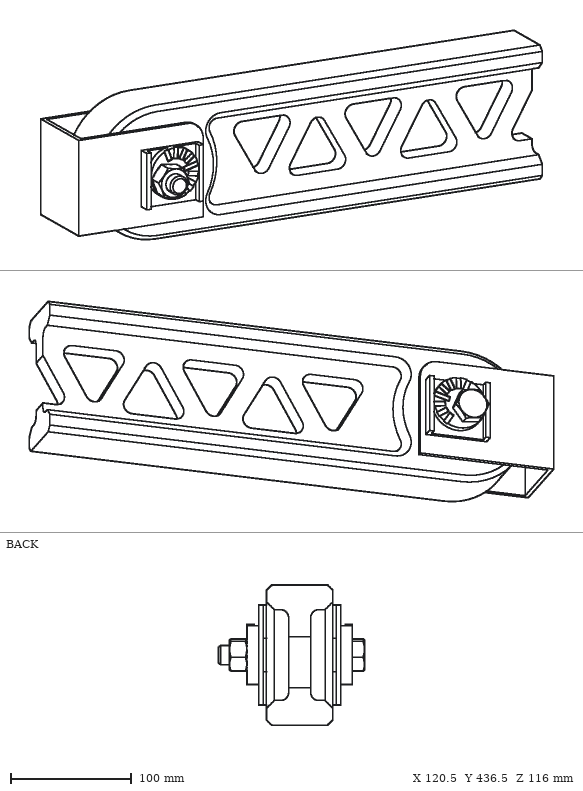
import cadquery as cq
import math


overall_length = 436.5

arm_width = 55.0
arm_height = 116.0
arm_chamfer = 4.5
pivot_boss_radius = 59.0
pocket_half_height = 37.5
pocket_depth = 18.5
pocket_corner_radius = 7.5
pocket_rim_angle = 45.0
pocket_edge_size = 6.5

window_count = 6
window_first_y = 107.5
window_pitch = 52.0
window_half_height = 27.0
window_height = 47.5
window_width = 52.5
window_corner_radius = 7.5

yoke_width = 68.0
yoke_height = 83.0
yoke_front = 77.0
yoke_rear = 39.3
yoke_wall = 4.0
yoke_corner_radius = 14.5

guide_web = 3.5
guide_lip_height = 6.0
guide_lip = 4.0
guide_height = 49.0
guide_channel = 45.0

cam_radius = 22.3
cam_eccentricity = 8.7
cam_angle = 22.5
tick_count = 8
tick_pitch = 24.0
tick_first_angle = -57.0
tick_width = 4.0
tick_length = 9.5
long_tick_index = 3
long_tick_length = 13.0
tick_depth = 1.1

bolt_diameter = 16.0
bolt_tip_x = 67.0
bolt_tip_chamfer = 1.7
hex_corner_radius = 14.5
hex_turn = -7.5
hex_cone_angle = 30.0
hex_face_radius = 12.0
head_thickness = 10.0
nut_thickness = 14.5
sleeve_diameter = 28.0

arm_radius = arm_height / 2
arm_rear_y = overall_length - yoke_front
yoke_face_x = yoke_width / 2
guide_floor_x = yoke_face_x + guide_web
cam_face_x = guide_floor_x + guide_lip_height
cam_center_y = cam_eccentricity * math.cos(math.radians(cam_angle))
cam_center_z = cam_eccentricity * math.sin(math.radians(cam_angle))


def side_plane(x):
    """Sketch plane at the given X: local x is +Y, local y is +Z, extrusion goes to +X."""
    return cq.Workplane("YZ", origin=(x, 0, 0))


def x_cylinder(radius, x_start, x_end):
    return side_plane(x_start).circle(radius).extrude(x_end - x_start)


def arm_blank():
    blank = (
        side_plane(-arm_width / 2)
        .moveTo(arm_rear_y, -arm_radius)
        .lineTo(arm_rear_y, arm_radius)
        .lineTo(0, arm_radius)
        .threePointArc((-arm_radius, 0), (0, -arm_radius))
        .close()
        .extrude(arm_width)
    )
    long_edges = blank.faces("<X or >X").edges("not >Y")
    return long_edges.chamfer(arm_chamfer)


def pocket_outline(plane, offset):
    """Closed outline of a side pocket, grown outwards by the offset; it runs out past the arm end."""
    half_height = pocket_half_height + offset
    boss_radius = pivot_boss_radius - offset
    corner_radius = pocket_corner_radius + offset
    corner_z = half_height - corner_radius
    center_distance = boss_radius + corner_radius
    corner_y = math.sqrt(center_distance**2 - corner_z**2)
    touch_y = corner_y * boss_radius / center_distance
    touch_z = corner_z * boss_radius / center_distance
    middle_angle = (math.pi / 2 + math.atan2(corner_z, corner_y) + math.pi) / 2
    middle_y = corner_y + corner_radius * math.cos(middle_angle)
    middle_z = corner_z + corner_radius * math.sin(middle_angle)
    runout_y = arm_rear_y + arm_width
    return (
        plane.moveTo(runout_y, half_height)
        .lineTo(corner_y, half_height)
        .threePointArc((middle_y, middle_z), (touch_y, touch_z))
        .threePointArc((boss_radius, 0), (touch_y, -touch_z))
        .threePointArc((middle_y, -middle_z), (corner_y, -half_height))
        .lineTo(runout_y, -half_height)
        .close()
    )


def pocket_cutter():
    """Pocket of the -X side: straight wall, filleted floor and chamfered rim."""
    mouth = side_plane(-arm_width / 2)
    body = pocket_outline(mouth, 0).extrude(pocket_depth).faces(">X").edges().fillet(pocket_edge_size)
    rim = pocket_outline(mouth, pocket_edge_size).extrude(pocket_edge_size, taper=pocket_rim_angle)
    return body.union(rim)


def window(index):
    """Rounded triangular hole through the web, pointing alternately down and up."""
    center_y = window_first_y + index * window_pitch
    base_z = window_half_height if index % 2 == 0 else -window_half_height
    tip_direction = -math.copysign(1, base_z)
    radius = window_corner_radius
    core_half_width = window_width / 2 - radius
    core_base_z = base_z + tip_direction * radius
    core_tip_z = base_z + tip_direction * (window_height - radius)
    corners = [
        (center_y - core_half_width, core_base_z),
        (center_y + core_half_width, core_base_z),
        (center_y, core_tip_z),
    ]
    return side_plane(-arm_width / 2).polyline(corners).close().offset2D(radius).extrude(arm_width)


def build_arm():
    arm = arm_blank()
    near_pocket = pocket_cutter()
    arm = arm.cut(near_pocket).cut(near_pocket.mirror("YZ"))
    for index in range(window_count):
        arm = arm.cut(window(index))
    return arm.cut(x_cylinder(sleeve_diameter / 2, -arm_width / 2, arm_width / 2))


def cam_guide():
    """Upright channel on the -X face of the yoke, holding the cam between two lips."""
    width = guide_channel + 2 * guide_lip
    blank = cq.Workplane().box(guide_web + guide_lip_height, width, guide_height)
    channel = cq.Workplane().box(guide_lip_height, guide_channel, guide_height)
    guide = blank.cut(channel.translate((-guide_web / 2, 0, 0)))
    return guide.translate((-(yoke_face_x + cam_face_x) / 2, cam_center_y, 0))


def build_yoke():
    length = yoke_front + yoke_rear
    inner_width = yoke_width - 2 * yoke_wall
    center_y = (yoke_rear - yoke_front) / 2
    yoke = cq.Workplane().box(yoke_width, length, yoke_height)
    yoke = yoke.cut(cq.Workplane().box(inner_width, length, yoke_height).translate((0, yoke_wall, 0)))
    yoke = yoke.faces(">Y").edges(">Z").fillet(yoke_corner_radius)
    yoke = yoke.translate((0, center_y, 0))
    guide = cam_guide()
    yoke = yoke.union(guide).union(guide.mirror("YZ"))
    return yoke.cut(x_cylinder(bolt_diameter / 2, -cam_face_x, cam_face_x))


def hexagon(x_start, thickness, chamfered_ends):
    """Hexagonal prism along X whose corners are cut by cones at the chosen ends."""
    corner_cut = hex_corner_radius - hex_face_radius
    cut_height = corner_cut * math.tan(math.radians(hex_cone_angle))
    prism = side_plane(x_start).polygon(6, 2 * hex_corner_radius).extrude(thickness)
    prism = prism.rotate((0, 0, 0), (1, 0, 0), hex_turn)
    rounding = side_plane(x_start).circle(hex_corner_radius).extrude(thickness)
    rounding = rounding.faces(chamfered_ends).chamfer(cut_height, corner_cut)
    return prism.intersect(rounding)


def build_bolt():
    shank = x_cylinder(bolt_diameter / 2, -cam_face_x, bolt_tip_x).faces(">X").chamfer(bolt_tip_chamfer)
    head = hexagon(-cam_face_x - head_thickness, head_thickness, "<X")
    return shank.union(head)


def build_nut():
    nut = hexagon(cam_face_x, nut_thickness, "<X or >X")
    return nut.cut(x_cylinder(bolt_diameter / 2, cam_face_x, cam_face_x + nut_thickness))


def build_cam():
    """Cam of the -X side, with radial graduation grooves in its outer face."""
    cam = x_cylinder(cam_radius, -cam_face_x, -guide_floor_x)
    for index in range(tick_count):
        length = long_tick_length if index == long_tick_index else tick_length
        groove = cq.Workplane().box(tick_depth, length, tick_width)
        groove = groove.translate((-cam_face_x + tick_depth / 2, cam_radius - length / 2, 0))
        cam = cam.cut(groove.rotate((0, 0, 0), (1, 0, 0), tick_first_angle + index * tick_pitch))
    cam = cam.translate((0, cam_center_y, cam_center_z))
    return cam.cut(x_cylinder(bolt_diameter / 2, -cam_face_x, -guide_floor_x))


def build_sleeve():
    half_length = yoke_face_x - yoke_wall
    sleeve = x_cylinder(sleeve_diameter / 2, -half_length, half_length)
    return sleeve.cut(x_cylinder(bolt_diameter / 2, -half_length, half_length))


arm = build_arm()
yoke = build_yoke()
sleeve = build_sleeve()
bolt = build_bolt()
nut = build_nut()
near_cam = build_cam()
cams = [near_cam, near_cam.mirror("YZ")]

result = cq.Compound.makeCompound(
    [arm.val(), yoke.val(), sleeve.val(), bolt.val(), nut.val(), *[cam.val() for cam in cams]]
)